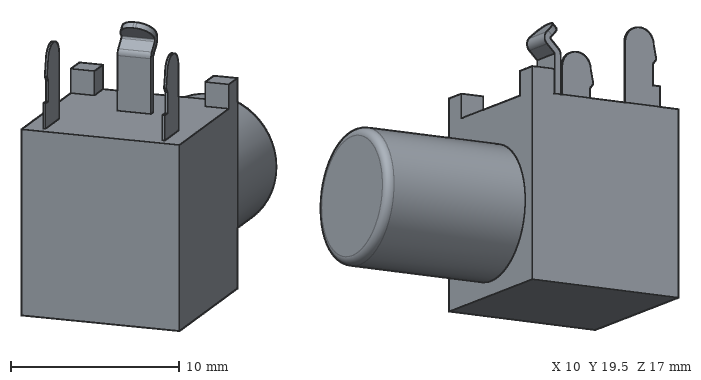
import cadquery as cq
import math

housing_side = 10.0
housing_height = 11.5
post_side = 1.5
post_height = 1.5

overall_length = 19.51
barrel_diameter = 8.3
barrel_height = housing_side / 2
barrel_rim_radius = 0.5

pin_width = 2.13
pin_thickness = 0.4
pin_front = 5.81
pin_height = 5.52
pin_bend_height = 3.47
pin_elbow_reach = 0.92
pin_bend_radius = 0.53
pin_inner_radius = pin_bend_radius - pin_thickness
pin_tip_radius = 0.98

blade_thickness = 0.15
blade_inset = 1.23
blade_front = 0.6
blade_rear = 2.99
blade_height = 5.0
blade_tip_radius = 0.98
foot_height = 1.56
notch_front = 1.1
notch_top = 2.85
barb_front = 0.85
barb_height = 3.16


def make_housing():
    block = cq.Workplane("XY").box(
        housing_side, housing_side, housing_height, centered=(True, False, False)
    )
    post_top = housing_height + post_height
    for side in (-1, 1):
        post = cq.Workplane("XY").box(post_side, post_side, post_top, centered=(True, True, False))
        offset = (housing_side - post_side) / 2
        block = block.union(post.translate((side * offset, housing_side - post_side / 2, 0)))
    return block


def make_barrel():
    return (
        cq.Workplane("XZ", origin=(0, housing_side, barrel_height))
        .circle(barrel_diameter / 2)
        .extrude(-(overall_length - housing_side))
        .faces(">Y")
        .edges()
        .fillet(barrel_rim_radius)
    )


def make_pin():
    pin_rear = pin_front + pin_thickness
    elbow_outer = (pin_rear + pin_elbow_reach, pin_bend_height + pin_elbow_reach)
    elbow_inner = (elbow_outer[0] - pin_thickness * math.sqrt(2), elbow_outer[1])
    bend_outer = (pin_front, elbow_inner[1] - (elbow_inner[0] - pin_front))
    tip_rise = pin_height - elbow_outer[1]
    tip_rear = (elbow_outer[0] - tip_rise, pin_height)
    tip_step = pin_thickness / math.sqrt(2)
    tip_front = (tip_rear[0] - tip_step, tip_rear[1] - tip_step)

    pin = (
        cq.Workplane("YZ", origin=(-pin_width / 2, 0, housing_height))
        .moveTo(pin_front, 0)
        .lineTo(pin_rear, 0)
        .lineTo(pin_rear, pin_bend_height)
        .lineTo(*elbow_outer)
        .lineTo(*tip_rear)
        .lineTo(*tip_front)
        .lineTo(*elbow_inner)
        .lineTo(*bend_outer)
        .close()
        .extrude(pin_width)
    )

    def corner(point):
        return cq.selectors.NearestToPointSelector((0, point[0], housing_height + point[1]))

    for point, radius in (
        (elbow_outer, pin_bend_radius),
        (bend_outer, pin_bend_radius),
        (elbow_inner, pin_inner_radius),
    ):
        pin = pin.edges(corner(point)).fillet(radius)

    tip_corners = pin.faces(cq.selectors.DirectionMinMaxSelector(cq.Vector(0, -1, 1))).edges("not |X")
    return tip_corners.fillet(pin_tip_radius)


def make_blade(x):
    tip_center_y = blade_rear - blade_tip_radius
    tip_center_z = blade_height - blade_tip_radius
    return (
        cq.Workplane("YZ", origin=(x, 0, housing_height))
        .moveTo(blade_front, 0)
        .lineTo(blade_rear, 0)
        .lineTo(blade_rear, tip_center_z)
        .threePointArc(
            (tip_center_y, blade_height),
            (tip_center_y - blade_tip_radius, tip_center_z),
        )
        .lineTo(barb_front, barb_height)
        .lineTo(notch_front, notch_top)
        .lineTo(notch_front, foot_height)
        .lineTo(blade_front, foot_height)
        .close()
        .extrude(blade_thickness / 2, both=True)
    )


result = make_housing().union(make_barrel()).union(make_pin())
for side in (-1, 1):
    result = result.union(make_blade(side * (housing_side / 2 - blade_inset)))